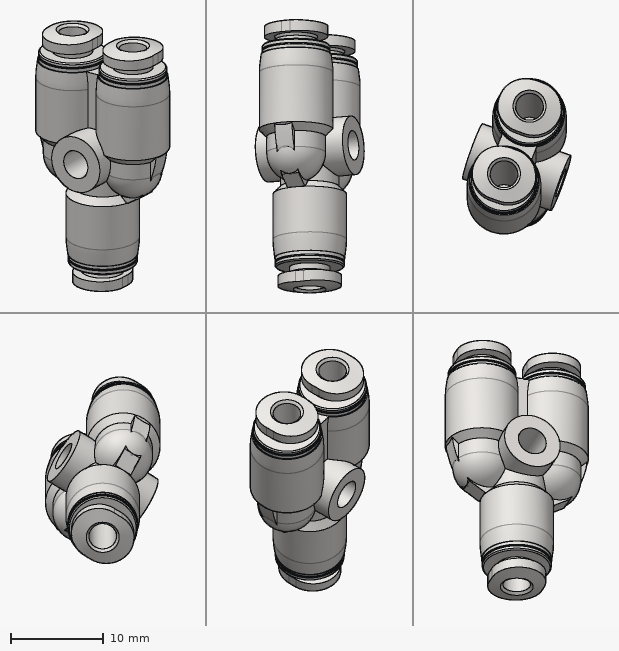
import cadquery as cq
import math

height = 28.8
body_diameter = 8.0
body_radius = body_diameter / 2
twin_offset = body_radius
core_radius = 6.4 / 2
elbow_z = 14.37

twin_body_end = 11.83
stem_body_end = 10.6
shoulder_length = body_radius - core_radius
taper_start = 3.5
taper_end = 5.53
taper_tip_radius = 3.815
ring_start = 2.48
ring_chamfer = 0.15
groove_start = 2.97
groove_width = 0.15
groove_depth = 0.1
twin_ring_radius = 7.37 / 2
stem_ring_radius = 7.5 / 2

collar_width = 6.0
collar_flat = 0.98
collar_thickness = 1.53
collar_cone_drop = 0.4
neck_radius = 4.4 / 2
neck_flare = 0.15
neck_flare_length = 0.32
bore_radius = 3.0 / 2
bore_chamfer = 0.3

hub_z = 15.6
hub_length = 10.2
hub_hole_diameter = 3.2
web_thickness = 4.0
gusset_thickness = 2.02
gusset_top_x = 7.8
gusset_middle = (7.45, 15.25)
gusset_foot = (6.68, 13.25)
gusset_elbow_angle = -56


def revolve_about_z(profile):
    return profile.close().revolve(360, (0, 0, 0), (0, 1, 0))


def port_body(body_end, ring_radius):
    """Sleeve and neck with the collar face at z = 0 and the body toward -z."""
    groove_radius = ring_radius - groove_depth
    taper_middle = (taper_start + taper_end) / 2
    taper_middle_radius = body_radius - (body_radius - taper_tip_radius) / 4
    return revolve_about_z(
        cq.Workplane("XZ")
        .moveTo(0, -collar_thickness)
        .lineTo(neck_radius + neck_flare, -collar_thickness)
        .lineTo(neck_radius, -collar_thickness - neck_flare_length)
        .lineTo(neck_radius, -ring_start)
        .lineTo(ring_radius - ring_chamfer, -ring_start)
        .lineTo(ring_radius, -ring_start - ring_chamfer)
        .lineTo(ring_radius, -groove_start)
        .lineTo(groove_radius, -groove_start)
        .lineTo(groove_radius, -groove_start - groove_width)
        .lineTo(ring_radius, -groove_start - groove_width)
        .lineTo(ring_radius, -taper_start)
        .lineTo(taper_tip_radius, -taper_start)
        .threePointArc((taper_middle_radius, -taper_middle), (body_radius, -taper_end))
        .lineTo(body_radius, -body_end)
        .lineTo(core_radius, -body_end - shoulder_length)
        .lineTo(0, -body_end - shoulder_length)
    )


def release_collar():
    """Flat-sided collar trimmed by a shallow cone."""
    collar_length = collar_width + collar_flat
    tip_radius = collar_length / 2
    blank = (
        cq.Workplane("XY")
        .slot2D(collar_length, collar_width, 90)
        .extrude(-collar_thickness)
    )
    cone = revolve_about_z(
        cq.Workplane("XZ")
        .moveTo(0, 0)
        .lineTo(bore_radius + bore_chamfer, 0)
        .lineTo(tip_radius, -collar_cone_drop)
        .lineTo(tip_radius, -collar_thickness)
        .lineTo(0, -collar_thickness)
    )
    return blank.intersect(cone)


def port_bore(depth):
    """Blind tube bore with a chamfered mouth."""
    return revolve_about_z(
        cq.Workplane("XZ")
        .moveTo(0, 0)
        .lineTo(bore_radius + bore_chamfer, 0)
        .lineTo(bore_radius, -bore_chamfer)
        .lineTo(bore_radius, -depth)
        .lineTo(0, -depth)
    )


def flip(solid):
    """Turn a port over so that its collar face looks down."""
    return solid.rotate((0, 0, 0), (1, 0, 0), 180)


def port(body_end, ring_radius):
    return port_body(body_end, ring_radius).union(release_collar())


def twin_port(side):
    """Upper port ending in a hemispherical elbow."""
    center = (side * twin_offset, 0, elbow_z)
    upper = port(twin_body_end, twin_ring_radius).translate((center[0], 0, height))
    leg_top = height - twin_body_end - shoulder_length
    leg = cq.Workplane("XY").circle(core_radius).extrude(leg_top - elbow_z)
    elbow = cq.Workplane("XY").sphere(core_radius)
    return upper.union(leg.translate(center)).union(elbow.translate(center))


def stem_port():
    """Lower port whose stem runs up to the hub."""
    lower = flip(port(stem_body_end, stem_ring_radius))
    stem_start = stem_body_end + shoulder_length
    stem = cq.Workplane("XY").workplane(offset=stem_start).circle(core_radius)
    return lower.union(stem.extrude(hub_z - stem_start))


def center_web():
    """Flat web filling the gap between the twin ports."""
    top = height - taper_start
    return (
        cq.Workplane("XY", origin=(0, 0, hub_z))
        .rect(body_radius, web_thickness)
        .extrude(top - hub_z)
    )


def elbow_point(angle):
    """Point on the right elbow's outline, by angle from +X."""
    turn = math.radians(angle)
    return twin_offset + core_radius * math.cos(turn), elbow_z + core_radius * math.sin(turn)


def gussets():
    """Thin ribs that blend the elbows into the shoulders above and below."""
    upper_z = height - twin_body_end
    right = (
        cq.Workplane("XZ")
        .moveTo(0, stem_body_end)
        .lineTo(body_radius, stem_body_end)
        .lineTo(*elbow_point(gusset_elbow_angle))
        .lineTo(*gusset_foot)
        .threePointArc(gusset_middle, (gusset_top_x, upper_z))
        .lineTo(twin_offset, upper_z)
        .lineTo(0, elbow_z)
        .close()
        .extrude(gusset_thickness / 2, both=True)
    )
    return right.union(right.mirror("YZ"))


def cross_hub(diameter):
    """Cylinder along Y, used for both the hub and its through hole."""
    return (
        cq.Workplane("XZ", origin=(0, 0, hub_z))
        .circle(diameter / 2)
        .extrude(hub_length / 2, both=True)
    )


body = stem_port()
for side in (-1, 1):
    body = body.union(twin_port(side))
body = body.union(center_web()).union(gussets())
body = body.union(cross_hub(2 * core_radius))

body = body.cut(cross_hub(hub_hole_diameter))
body = body.cut(flip(port_bore(stem_body_end)))
for side in (-1, 1):
    body = body.cut(port_bore(twin_body_end).translate((side * twin_offset, 0, height)))

result = body